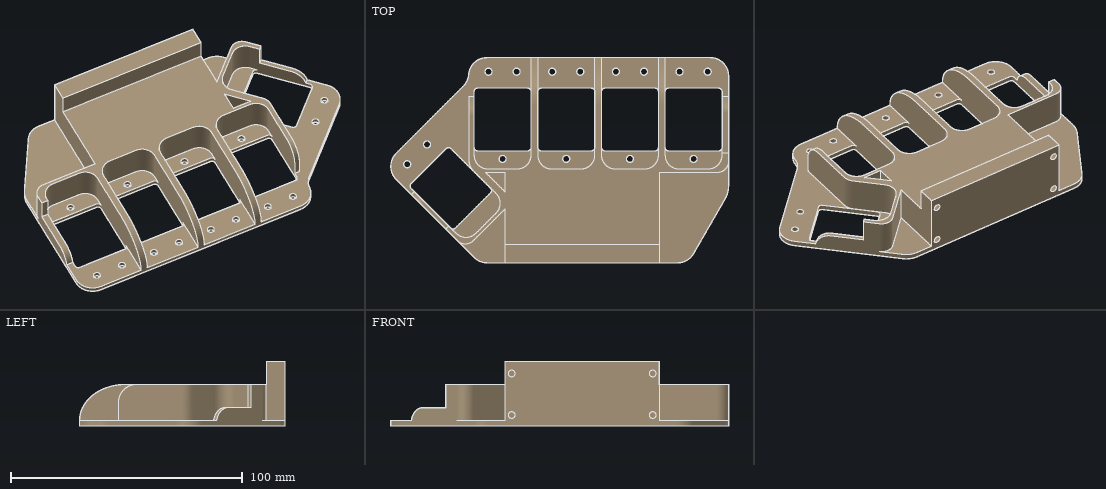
import cadquery as cq
import math

PLATE_THICKNESS = 2.5
LOW_WALL_TOP = 8.0
WALL_TOP = 18.1
BAR_TOP = 28.0

LENGTH = 145.8
WIDTH = 88.6
PLATE_RADIUS = 8.0
FINGER_SIDE_X = 33.5
BEVEL_CORNER_X = 128.3
BEVEL_ANGLE = 60.0
BEVEL_TOP_RADIUS = 11.7

FINGER_COUNT = 4
POCKET_WIDTH = 24.5
POCKET_LENGTH = 34.8
POCKET_RADIUS = 6.0
WINDOW_LENGTH = 27.0
WINDOW_RADIUS = 1.5
SCREW_DIAMETER = 2.9
SCREW_SPACING = 12.1
OUTER_SCREW_OFFSET = 7.1
INNER_SCREW_OFFSET = 3.5
WINDOW_TOP_Y = 75.4
FIRST_POCKET_X = 36.0
RIGHT_WALL = 2.9
LAST_POCKET_X = LENGTH - RIGHT_WALL - POCKET_WIDTH
POCKET_PITCH = (LAST_POCKET_X - FIRST_POCKET_X) / (FINGER_COUNT - 1)

THUMB_ANGLE = 45.0
THUMB_EDGE = 27.1
THUMB_WALL = 1.9
THUMB_POCKET_WIDTH = 24.3
THUMB_LEDGE = 0.1
THUMB_POCKET_LEFT = THUMB_EDGE + THUMB_WALL
THUMB_POCKET_RIGHT = THUMB_POCKET_LEFT + THUMB_POCKET_WIDTH
THUMB_INNER_FACE = 56.5
THUMB_TIP = THUMB_EDGE + PLATE_RADIUS * (2 - math.sqrt(2))
THUMB_WINDOW_TOP = 18.0
THUMB_STEP = -6.4
THUMB_LOW_START = 14.7

END_WALL = 1.5
LEFT_WALL_X = 33.8
WALL_RADIUS = 5.0
WALL_FRONT_Y = WINDOW_TOP_Y - POCKET_LENGTH - END_WALL
RIB_ROUND_LENGTH = 20.0
OUTER_WALL_END_Y = 71.9
LEFT_WALL_RADIUS = 8.0
LOW_WALL_RADIUS = 7.0
RIGHT_STEP_Y = 47.5

BLOCK_LEFT = 49.3
BLOCK_RIGHT = 115.9
BAR_DEPTH = 8.0
BAR_HOLE_DIAMETER = 2.9
BAR_HOLE_DEPTH = 5.8
BAR_HOLE_INSET = 2.9
BAR_HOLE_HEIGHTS = (4.8, 22.7)


def thumb_point(across, along):
    """Turn thumb-axis coordinates into part coordinates."""
    cos_a = math.cos(math.radians(THUMB_ANGLE))
    sin_a = math.sin(math.radians(THUMB_ANGLE))
    return (across * cos_a - along * sin_a, across * sin_a + along * cos_a)


def box_between(x0, x1, y0, y1, z0, z1):
    return cq.Workplane("XY").box(x1 - x0, y1 - y0, z1 - z0, centered=False).translate((x0, y0, z0))


def fillet_corner(body, point, radius):
    """Round the vertical edge that stands on a plan point."""
    reach = 0.1
    x, y = point
    near = cq.selectors.BoxSelector((x - reach, y - reach, -1.5), (x + reach, y + reach, BAR_TOP))
    return body.edges("|Z").edges(near).fillet(radius)


def make_plate():
    thumb_tip = thumb_point(THUMB_EDGE, THUMB_TIP)
    front_left = (THUMB_EDGE / math.cos(math.radians(THUMB_ANGLE)), 0)
    front_right = (BEVEL_CORNER_X, 0)
    bevel_top = (LENGTH, (LENGTH - BEVEL_CORNER_X) * math.tan(math.radians(BEVEL_ANGLE)))
    top_right = (LENGTH, WIDTH)

    round_x = FINGER_SIDE_X + PLATE_RADIUS
    round_y = WIDTH - PLATE_RADIUS
    cos_a = math.cos(math.radians(THUMB_ANGLE))
    round_across = (round_x + round_y) * cos_a
    round_along = (round_y - round_x) * cos_a
    hollow_along = THUMB_TIP + PLATE_RADIUS
    center_distance = 2 * PLATE_RADIUS
    hollow_across = round_across - math.sqrt(center_distance**2 - (hollow_along - round_along) ** 2)
    hollow_x, hollow_y = thumb_point(hollow_across, hollow_along)
    blend = ((round_x + hollow_x) / 2, (round_y + hollow_y) / 2)
    hollow_end = thumb_point(hollow_across, THUMB_TIP)

    plate = (
        cq.Workplane("XY")
        .moveTo(*thumb_tip)
        .lineTo(*front_left)
        .lineTo(*front_right)
        .lineTo(*bevel_top)
        .lineTo(*top_right)
        .lineTo(round_x, WIDTH)
        .tangentArcPoint(blend, relative=False)
        .tangentArcPoint(hollow_end, relative=False)
        .close()
        .extrude(PLATE_THICKNESS)
    )
    for corner in (thumb_tip, front_left, front_right, top_right):
        plate = fillet_corner(plate, corner, PLATE_RADIUS)
    return fillet_corner(plate, bevel_top, BEVEL_TOP_RADIUS)


def make_walls():
    """Palm block and full-height walls, before the pockets are cut."""
    left_bend = (LEFT_WALL_X, THUMB_POCKET_RIGHT / math.cos(math.radians(THUMB_ANGLE)) - LEFT_WALL_X)
    thumb_end = THUMB_WINDOW_TOP - POCKET_LENGTH - END_WALL
    thumb_corner = thumb_point(THUMB_EDGE, thumb_end)
    block_meeting = (BLOCK_LEFT, BLOCK_LEFT + thumb_end / math.cos(math.radians(THUMB_ANGLE)))
    right_corner = (LENGTH, WALL_FRONT_Y)
    outline = [
        (LEFT_WALL_X, WIDTH),
        left_bend,
        thumb_point(THUMB_POCKET_RIGHT, THUMB_STEP),
        thumb_point(THUMB_EDGE, THUMB_STEP),
        thumb_corner,
        block_meeting,
        (BLOCK_LEFT, 0),
        (BLOCK_RIGHT, 0),
        (BLOCK_RIGHT, WALL_FRONT_Y),
        right_corner,
        (LENGTH, WIDTH),
    ]
    walls = cq.Workplane("XY").workplane(offset=PLATE_THICKNESS).polyline(outline).close()
    walls = walls.extrude(WALL_TOP - PLATE_THICKNESS)
    walls = fillet_corner(walls, left_bend, POCKET_RADIUS)
    walls = fillet_corner(walls, thumb_corner, WALL_RADIUS)
    return fillet_corner(walls, right_corner, WALL_RADIUS)


def make_corner_void():
    """Triangular gap between the thumb wall, the finger wall and the block."""
    face_sum = THUMB_INNER_FACE / math.cos(math.radians(THUMB_ANGLE))
    corners = [
        (BLOCK_LEFT, WALL_FRONT_Y),
        (face_sum - WALL_FRONT_Y, WALL_FRONT_Y),
        (BLOCK_LEFT, face_sum - BLOCK_LEFT),
    ]
    void = cq.Workplane("XY").workplane(offset=PLATE_THICKNESS).polyline(corners).close()
    return void.extrude(WALL_TOP)


def make_pocket(width):
    """Pocket cutter, open outward; its origin is the middle of the window's outer edge."""
    half = width / 2
    pocket = box_between(-half, half, -POCKET_LENGTH, WIDTH, PLATE_THICKNESS, BAR_TOP)
    return pocket.edges("|Z and <Y").fillet(POCKET_RADIUS)


def make_openings(width, ledge, with_inner_screw):
    """Window and screw-hole cutter, with the same origin as the pocket."""
    half = width / 2
    window = box_between(-half, half - ledge, -WINDOW_LENGTH, 0, 0, PLATE_THICKNESS)
    window = window.edges("|Z").fillet(WINDOW_RADIUS)
    screws = [(side * SCREW_SPACING / 2, OUTER_SCREW_OFFSET) for side in (-1, 1)]
    if with_inner_screw:
        screws.append((0, -WINDOW_LENGTH - INNER_SCREW_OFFSET))
    holes = cq.Workplane("XY").pushPoints(screws).circle(SCREW_DIAMETER / 2).extrude(PLATE_THICKNESS)
    return window.union(holes)


def cut_at(body, cutter, place):
    """Cut a station's cutter out of the body at one location."""
    return body.cut(cq.Workplane(cq.Compound.makeCompound(cutter.vals()).moved(place)))


def make_round_end(x0, x1, end_y, top, radius):
    """Cutter that clears a wall beyond end_y and rounds its top outer corner."""
    profile = (
        cq.Workplane("YZ")
        .moveTo(end_y - radius, top)
        .radiusArc((end_y, top - radius), radius)
        .lineTo(WIDTH + radius, top - radius)
        .lineTo(WIDTH + radius, BAR_TOP)
        .lineTo(end_y - radius, BAR_TOP)
        .close()
        .extrude(x1 - x0)
        .translate((x0, 0, 0))
    )
    beyond = box_between(x0, x1, end_y, WIDTH + radius, 0, BAR_TOP)
    above_plate = box_between(x0, x1, 0, WIDTH + radius, PLATE_THICKNESS, BAR_TOP)
    return profile.union(beyond).intersect(above_plate)


def make_rib_round():
    """Cutter that gives the ribs between fingers a quarter-ellipse outer end."""
    start_y = WIDTH - RIB_ROUND_LENGTH
    height = WALL_TOP - PLATE_THICKNESS
    block = box_between(FIRST_POCKET_X, LAST_POCKET_X, start_y, WIDTH, PLATE_THICKNESS, WALL_TOP)
    kept = (
        cq.Workplane("YZ", origin=(FIRST_POCKET_X, start_y, PLATE_THICKNESS))
        .ellipse(RIB_ROUND_LENGTH, height)
        .extrude(LAST_POCKET_X - FIRST_POCKET_X)
    )
    return block.cut(kept)


def make_thumb_low_wall():
    wall = box_between(THUMB_EDGE, THUMB_POCKET_LEFT, THUMB_STEP, THUMB_LOW_START, 0, LOW_WALL_TOP)
    wall = wall.cut(
        make_round_end(THUMB_EDGE, THUMB_POCKET_LEFT, THUMB_LOW_START, LOW_WALL_TOP, LOW_WALL_RADIUS)
    )
    return wall.rotate((0, 0, 0), (0, 0, 1), THUMB_ANGLE)


def make_bar():
    return box_between(BLOCK_LEFT, BLOCK_RIGHT, 0, BAR_DEPTH, 0, BAR_TOP)


def make_bar_holes():
    """Blind holes near the corners of the front face."""
    columns = (BLOCK_LEFT + BAR_HOLE_INSET, BLOCK_RIGHT - BAR_HOLE_INSET)
    places = [(x, z) for x in columns for z in BAR_HOLE_HEIGHTS]
    return cq.Workplane("XZ").pushPoints(places).circle(BAR_HOLE_DIAMETER / 2).extrude(-BAR_HOLE_DEPTH)


def make_palm():
    walls = make_walls().cut(make_corner_void())

    left_round = make_round_end(LEFT_WALL_X, FIRST_POCKET_X, OUTER_WALL_END_Y, WALL_TOP, LEFT_WALL_RADIUS)
    walls = walls.cut(left_round).cut(make_rib_round())
    right_x = LAST_POCKET_X + POCKET_WIDTH
    walls = walls.cut(make_round_end(right_x, LENGTH, OUTER_WALL_END_Y, LOW_WALL_TOP, LOW_WALL_RADIUS))
    walls = walls.cut(box_between(right_x, LENGTH, RIGHT_STEP_Y, WIDTH, LOW_WALL_TOP, WALL_TOP))

    fingers = [
        cq.Location(cq.Vector(FIRST_POCKET_X + POCKET_WIDTH / 2 + i * POCKET_PITCH, WINDOW_TOP_Y, 0))
        for i in range(FINGER_COUNT)
    ]
    thumb_x, thumb_y = thumb_point(THUMB_POCKET_LEFT + THUMB_POCKET_WIDTH / 2, THUMB_WINDOW_TOP)
    thumb = cq.Location(cq.Vector(thumb_x, thumb_y, 0), cq.Vector(0, 0, 1), THUMB_ANGLE)

    finger_pocket = make_pocket(POCKET_WIDTH)
    for place in fingers:
        walls = cut_at(walls, finger_pocket, place)
    walls = cut_at(walls, make_pocket(THUMB_POCKET_WIDTH), thumb)

    palm = make_plate().union(walls).union(make_thumb_low_wall()).union(make_bar())
    palm = palm.cut(make_bar_holes())

    finger_openings = make_openings(POCKET_WIDTH, 0, with_inner_screw=True)
    thumb_openings = make_openings(THUMB_POCKET_WIDTH, THUMB_LEDGE, with_inner_screw=False)
    for place in fingers:
        palm = cut_at(palm, finger_openings, place)
    return cut_at(palm, thumb_openings, thumb)


palm = make_palm()
result = cq.Compound.makeCompound([*palm.solids().vals()])